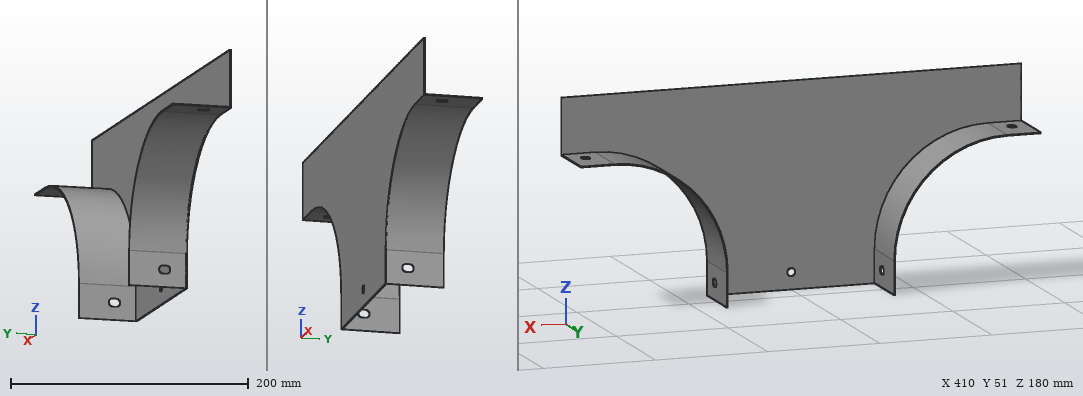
import cadquery as cq

length = 410.0
height = 180.0
depth = 51.0
sheet = 1.0
bend_radius = 100.0
end_straight = 30.0
hole_diameter = 7.0
slot_length = 10.0
slot_from_face = 19.5

half_length = length / 2
stem_half = half_length - end_straight - bend_radius
arm_bottom = end_straight + bend_radius
hole_inset = end_straight / 2


def tee_solid(inset, thickness):
    """Tee outline with its branch edges moved inwards by inset, extruded towards +Y."""
    stem = stem_half - inset
    shoulder = arm_bottom + inset
    bend_x = stem_half + bend_radius
    radius = bend_radius + inset
    return (
        cq.Workplane("XZ")
        .moveTo(-stem, 0)
        .lineTo(stem, 0)
        .lineTo(stem, end_straight)
        .radiusArc((bend_x, shoulder), radius)
        .lineTo(half_length, shoulder)
        .lineTo(half_length, height)
        .lineTo(-half_length, height)
        .lineTo(-half_length, shoulder)
        .lineTo(-bend_x, shoulder)
        .radiusArc((-stem, end_straight), radius)
        .close()
        .extrude(-thickness)
    )


flanges = tee_solid(0, depth).cut(tee_solid(sheet, depth))
result = flanges.union(tee_solid(0, sheet))

plate_hole = cq.Workplane("XZ").center(0, hole_inset).circle(hole_diameter / 2).extrude(-sheet)
result = result.cut(plate_hole)

for side in (-1, 1):
    arm_slot = (
        cq.Workplane("XY", origin=(side * (half_length - hole_inset), slot_from_face, arm_bottom))
        .slot2D(slot_length, hole_diameter, 90)
        .extrude(sheet)
    )
    result = result.cut(arm_slot)

stem_slots = (
    cq.Workplane("YZ", origin=(0, slot_from_face, hole_inset))
    .slot2D(slot_length, hole_diameter)
    .extrude(stem_half, both=True)
)
result = result.cut(stem_slots)